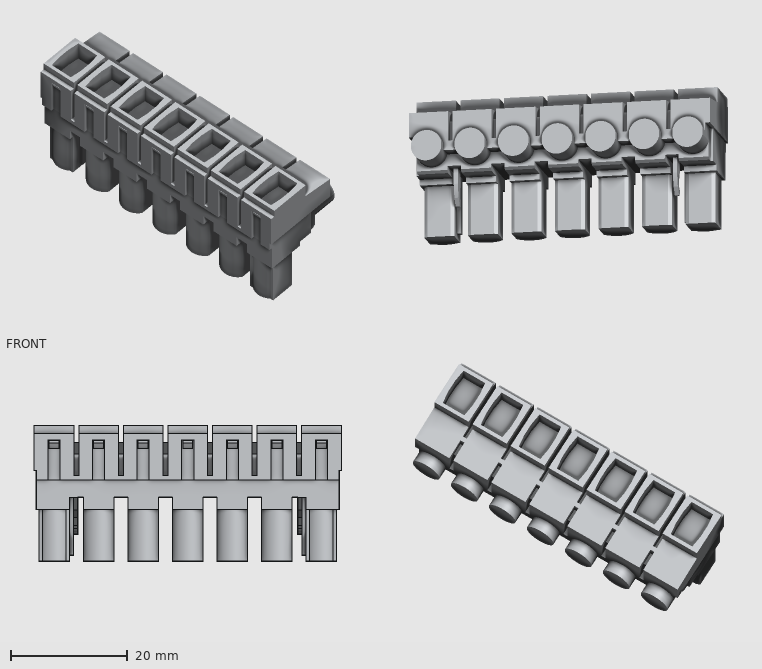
import cadquery as cq
import math


LENGTH = 52.65
HEIGHT = 23.3
DEPTH = 17.25
POLES = 7
END_POLE_WIDTH = 6.95
PITCH = (LENGTH - END_POLE_WIDTH) / (POLES - 1)
POLE_WIDTH = 5.25
POLE_SPAN = (POLES - 1) * PITCH + POLE_WIDTH
FIRST_POLE = -(POLES - 1) / 2 * PITCH
POLE_CENTRES = [FIRST_POLE + i * PITCH for i in range(POLES)]
GAP_CENTRES = [x + PITCH / 2 for x in POLE_CENTRES[:-1]]

LIP_DEPTH = 0.8
LIP_Z = 21.85
TOWER_BACK = 8.9
SLOPE_HIGH_Z = 20.6
SLOPE_LOW_Z = 19.85
BACK = 15.2
UPPER_BOTTOM = 15.55
FRONT_LEDGE_Z = 13.9
FRONT_LEDGE_DEPTH = 0.65

SIDE_STEP = 0.35
LOWER_LENGTH = LENGTH - 2 * SIDE_STEP
BLOCK_BOTTOM = 8.85
BLOCK_BACK = 7.9
REAR_BOTTOM = 9.85
REAR_START = 10.75
REAR_BACK = 12.2
REAR_CHAMFER_Y = 0.6
REAR_CHAMFER_Z = 0.4
NOTCH_TOP = 10.95

BOSS_RADIUS = 2.7
BOSS_Z = 13.55
BOSS_FLAT_HALF = math.sqrt(BOSS_RADIUS**2 - (POLE_WIDTH / 2) ** 2)
REAR_SHELF_Z = BOSS_Z - BOSS_FLAT_HALF

GROOVE_WIDTH = 0.8
GROOVE_FLOOR = 18.4
GROOVE_DEEP_FLOOR = 14.7
FRONT_GROOVE_END = 10.8
REAR_GROOVE_START = 11.6
GROOVE_END_STEP = 1.4

WELL_FRONT = 1.4
WELL_BACK = 8.25
WELL_END_WIDTH = 4.3
WELL_MID_WIDTH = 4.95
WELL_FLOOR = 19.55

SLOT_WIDTH = 2.05
SLOT_DEPTH = 0.6
SLOT_TOP = 20.8
CATCH_WIDTH = 1.7
CATCH_PITCH = 7.65
FIRST_CATCH = -(POLES - 1) / 2 * CATCH_PITCH
CATCH_TOP = 20.65
CATCH_NOSE_Z = 20.3
CATCH_BOTTOM = 19.3
CATCH_FRONT = 0.05

PIN_FRONT = 0.75
PIN_BACK = 6.7
PIN_RADIUS = 3.2
PIN_BACK_CHAMFER_X = 0.65
PIN_BACK_CHAMFER_Y = 0.3
END_PIN_SHOULDER = 1.4

RIB_WIDTH = 0.7
RIB_FRONT = 3.1
RIB_DEPTH = 1.05
RIB_BOTTOM = 1.0
LATCH_WIDTH = 0.75
LATCH_BACK = 10.15
LATCH_BOW_TOP = (LATCH_BACK, 8.25)
LATCH_BOW_MID = (9.95, 7.1)
LATCH_BOW_END = (9.55, 5.95)
LATCH_TIP_BACK = (8.6, 4.65)
LATCH_TIP_FRONT = (8.05, 4.65)
LATCH_NOSE_LOW = (7.9, 5.15)
LATCH_NOSE_HIGH = (7.9, 5.65)
LATCH_NECK_LOW = (8.4, 6.1)
LATCH_NECK_HIGH = (8.4, 7.55)
LATCH_ROOT_FRONT = (BLOCK_BACK, 8.8)


def box(x0, x1, y0, y1, z0, z1):
    """Box between two opposite corners."""
    return cq.Workplane("XY").box(x1 - x0, y1 - y0, z1 - z0, centered=False).translate((x0, y0, z0))


def side_plane(x):
    """Sketch plane at the given X whose local axes are Y and Z."""
    return cq.Workplane("YZ", origin=(x, 0, 0))


def upper_body():
    """Full-length top: raised front tower and a roof sloping down to the back."""
    outline = [
        (0, UPPER_BOTTOM),
        (0, LIP_Z),
        (LIP_DEPTH, LIP_Z),
        (LIP_DEPTH, HEIGHT),
        (TOWER_BACK, HEIGHT),
        (TOWER_BACK, SLOPE_HIGH_Z),
        (BACK, SLOPE_LOW_Z),
        (BACK, UPPER_BOTTOM),
    ]
    return side_plane(-LENGTH / 2).polyline(outline).close().extrude(LENGTH)


def lower_front_block():
    """Block under the top that carries the pins."""
    outline = [
        (0, UPPER_BOTTOM),
        (0, FRONT_LEDGE_Z),
        (FRONT_LEDGE_DEPTH, FRONT_LEDGE_Z),
        (FRONT_LEDGE_DEPTH, BLOCK_BOTTOM),
        (BLOCK_BACK, BLOCK_BOTTOM),
        (BLOCK_BACK, REAR_BOTTOM),
        (REAR_START, REAR_BOTTOM),
        (REAR_START, UPPER_BOTTOM),
    ]
    return side_plane(-LOWER_LENGTH / 2).polyline(outline).close().extrude(LOWER_LENGTH)


def lower_rear_block():
    """Shorter block behind the pins, with a shelf over the rear bosses."""
    outline = [
        (REAR_START, UPPER_BOTTOM),
        (REAR_START, REAR_BOTTOM),
        (REAR_BACK - REAR_CHAMFER_Y, REAR_BOTTOM),
        (REAR_BACK, REAR_BOTTOM + REAR_CHAMFER_Z),
        (REAR_BACK, REAR_SHELF_Z),
        (BACK, REAR_SHELF_Z),
        (BACK, UPPER_BOTTOM),
    ]
    return side_plane(-POLE_SPAN / 2).polyline(outline).close().extrude(POLE_SPAN)


def rear_boss(x):
    """Round boss with flattened sides at the back of a pole."""
    boss = cq.Workplane("XZ", origin=(x, REAR_START, BOSS_Z)).circle(BOSS_RADIUS).extrude(REAR_START - DEPTH)
    flats = box(x - POLE_WIDTH / 2, x + POLE_WIDTH / 2, REAR_START, DEPTH, 0, HEIGHT)
    return boss.intersect(flats)


def pin(x):
    """Pin with a round front, flat sides and chamfered back corners."""
    half = POLE_WIDTH / 2
    arc_centre = PIN_FRONT + PIN_RADIUS
    arc_end = arc_centre - math.sqrt(PIN_RADIUS**2 - half**2)
    return (
        cq.Workplane("XY", origin=(x, 0, 0))
        .moveTo(-half, arc_end)
        .threePointArc((0, PIN_FRONT), (half, arc_end))
        .lineTo(half, PIN_BACK - PIN_BACK_CHAMFER_Y)
        .lineTo(half - PIN_BACK_CHAMFER_X, PIN_BACK)
        .lineTo(PIN_BACK_CHAMFER_X - half, PIN_BACK)
        .lineTo(-half, PIN_BACK - PIN_BACK_CHAMFER_Y)
        .close()
        .extrude(BLOCK_BOTTOM)
    )


def end_pin_corners(x):
    """Fills the front corners of an end pin to make it square."""
    half = POLE_WIDTH / 2
    return box(x - half, x + half, END_PIN_SHOULDER, PIN_FRONT + PIN_RADIUS, 0, BLOCK_BOTTOM)


def key_rib():
    """Rib on the inner side of the first pin."""
    x = POLE_CENTRES[0] + POLE_WIDTH / 2
    return box(x, x + RIB_WIDTH, RIB_FRONT, RIB_FRONT + RIB_DEPTH, RIB_BOTTOM, NOTCH_TOP)


def latch():
    """Hooked latch hanging beside the first pin, behind its rib."""
    x = POLE_CENTRES[0] + POLE_WIDTH / 2 + RIB_WIDTH
    return (
        side_plane(x)
        .moveTo(LATCH_BACK, NOTCH_TOP)
        .lineTo(*LATCH_BOW_TOP)
        .threePointArc(LATCH_BOW_MID, LATCH_BOW_END)
        .lineTo(*LATCH_TIP_BACK)
        .lineTo(*LATCH_TIP_FRONT)
        .lineTo(*LATCH_NOSE_LOW)
        .lineTo(*LATCH_NOSE_HIGH)
        .lineTo(*LATCH_NECK_LOW)
        .lineTo(*LATCH_NECK_HIGH)
        .lineTo(*LATCH_ROOT_FRONT)
        .lineTo(BLOCK_BACK, NOTCH_TOP)
        .close()
        .extrude(LATCH_WIDTH)
    )


def groove_cut(x):
    """Grooves from the front and from the back between two poles, deeper at the ends."""
    x0 = x - GROOVE_WIDTH / 2
    x1 = x + GROOVE_WIDTH / 2
    front = box(x0, x1, 0, FRONT_GROOVE_END, GROOVE_FLOOR, HEIGHT)
    front_end = box(x0, x1, 0, GROOVE_END_STEP, GROOVE_DEEP_FLOOR, HEIGHT)
    rear = box(x0, x1, REAR_GROOVE_START, BACK, GROOVE_FLOOR, HEIGHT)
    rear_end = box(x0, x1, BACK - GROOVE_END_STEP, BACK, GROOVE_DEEP_FLOOR, HEIGHT)
    return front.union(front_end).union(rear).union(rear_end)


def notch_cut(x):
    """Notch through the underside between two poles."""
    half = (PITCH - POLE_WIDTH) / 2
    return box(x - half, x + half, 0, DEPTH, 0, NOTCH_TOP)


def well_cut(x):
    """Wire well with bulging sides."""
    end = WELL_END_WIDTH / 2
    mid = WELL_MID_WIDTH / 2
    mid_y = (WELL_FRONT + WELL_BACK) / 2
    return (
        cq.Workplane("XY", origin=(x, 0, WELL_FLOOR))
        .moveTo(-end, WELL_FRONT)
        .lineTo(end, WELL_FRONT)
        .threePointArc((mid, mid_y), (end, WELL_BACK))
        .lineTo(-end, WELL_BACK)
        .threePointArc((-mid, mid_y), (-end, WELL_FRONT))
        .close()
        .extrude(HEIGHT - WELL_FLOOR)
    )


def slot_cut(x):
    """Shallow slot in the front face, open at the ledge below."""
    return box(x - SLOT_WIDTH / 2, x + SLOT_WIDTH / 2, 0, SLOT_DEPTH, FRONT_LEDGE_Z, SLOT_TOP)


def make_housing():
    """One-piece housing of all the poles."""
    body = upper_body().union(lower_front_block()).union(lower_rear_block())
    for x in GAP_CENTRES:
        body = body.cut(groove_cut(x)).cut(notch_cut(x))
    for x in POLE_CENTRES:
        body = body.union(rear_boss(x)).union(pin(x)).cut(well_cut(x)).cut(slot_cut(x))
    for x in (POLE_CENTRES[0], POLE_CENTRES[-1]):
        body = body.union(end_pin_corners(x))
    for feature in (key_rib(), latch()):
        body = body.union(feature).union(feature.mirror("YZ"))
    return body


def make_catch(x):
    """Catch on the floor of a front slot, tapering towards its lower end."""
    outline = [
        (SLOT_DEPTH, CATCH_TOP),
        (CATCH_FRONT, CATCH_TOP),
        (CATCH_FRONT, CATCH_NOSE_Z),
        (SLOT_DEPTH, CATCH_BOTTOM),
    ]
    return side_plane(x - CATCH_WIDTH / 2).polyline(outline).close().extrude(CATCH_WIDTH)


housing = make_housing()
catches = [make_catch(FIRST_CATCH + i * CATCH_PITCH) for i in range(POLES)]

result = cq.Compound.makeCompound([housing.val(), *[catch.val() for catch in catches]])